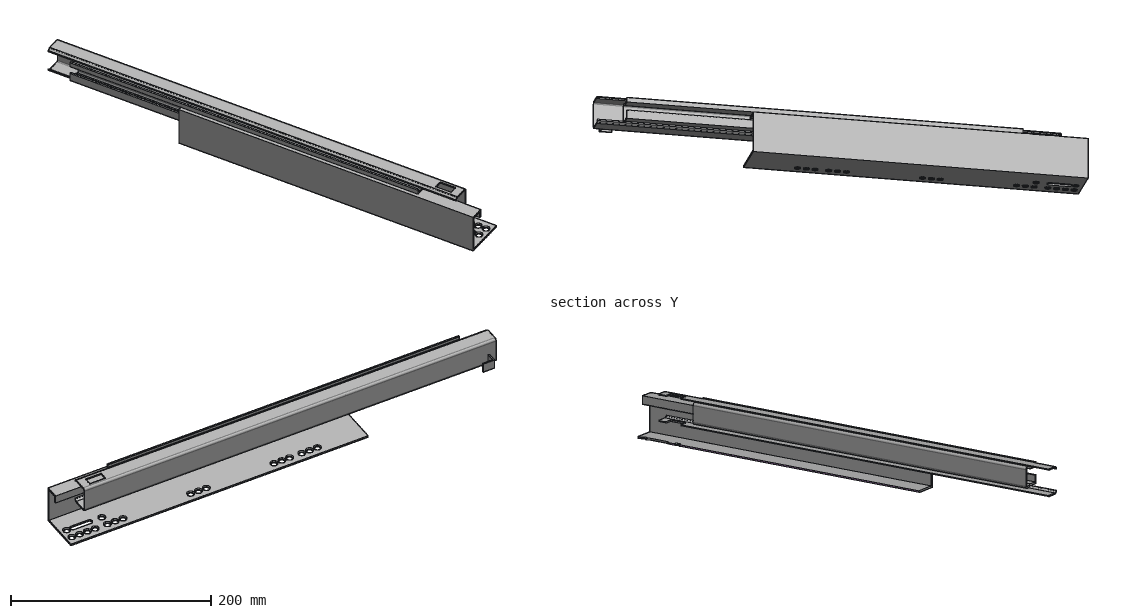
import cadquery as cq

overall_length = 500.0

cabinet_start = 157.5
cabinet_depth = 45.5
cabinet_height = 42.5
cabinet_thickness = 2.0
shelf_depth = 15.0
shelf_lip_height = 9.0

hole_diameter = 6.0
countersink_diameter = 8.0
countersink_angle = 90
hole_pitch = 9.0
hole_module = 32.0
first_group_x = 210.5
hole_groups = [(0, 3), (1, 3), (4, 3), (7, 3), (8, 4)]
back_row_y = 36.0
front_row_y = 24.0
front_hole_xs = [452.0, 492.5]
slot_start = 463.0
slot_end = 488.5
slot_width = 6.0

drawer_length = 474.5
drawer_top = 50.5
drawer_bottom = 21.5
drawer_back = 28.5
drawer_thickness = 1.5
drawer_corner_radius = 2.5
lip_start_y = 12.0
lip_end_y = 9.0
lip_drop = 2.0

window_start = 447.5
window_end = 465.5
window_front = 15.0
window_back = 24.0

hook_start = 8.0
hook_length = 13.0
hook_reach = 10.5
hook_bottom = 23.5
hook_height = 10.5
hook_thickness = 1.5

middle_start = 29.0
middle_length = 405.0
middle_back = 21.0
middle_front = 3.0
middle_thickness = 2.0
middle_corner_radius = 2.5
middle_top = 47.0
middle_bottom = 24.5
flange_step = 1.5
step_back_y = 17.0
step_front_y = 13.5
upper_lip_top = 48.5
lower_lip_top = 35.0

selection_margin = 0.25


def extrude_profile(points, start, length):
    """Extrude a closed outline of (y, z) points along X."""
    return cq.Workplane("YZ", origin=(start, 0, 0)).polyline(points).close().extrude(length)


def round_web_corners(rail, web_back, thickness, outer_radius):
    """Round the sheet bends at both ends of a rail's web, outside and inside alike."""
    rail = rail.edges("|X and >Y").fillet(outer_radius)
    inner_face = cq.selectors.BoxSelector(
        (0, web_back - thickness - selection_margin, drawer_bottom),
        (overall_length, web_back - thickness + selection_margin, drawer_top),
    )
    inner_edges = rail.faces(inner_face).edges("|X")
    return inner_edges.fillet(outer_radius - thickness)


def make_cabinet_bracket():
    t = cabinet_thickness
    length = overall_length - cabinet_start
    lip_bottom = cabinet_height - shelf_lip_height
    lip_inner = shelf_depth - t
    outline = [
        (0, 0),
        (cabinet_depth, 0),
        (cabinet_depth, t),
        (t, t),
        (t, cabinet_height - t),
        (lip_inner, cabinet_height - t),
        (lip_inner, lip_bottom),
        (shelf_depth, lip_bottom),
        (shelf_depth, cabinet_height),
        (0, cabinet_height),
    ]
    bracket = extrude_profile(outline, cabinet_start, length)

    hole_centers = [(x, front_row_y) for x in front_hole_xs]
    for modules, count in hole_groups:
        group_x = first_group_x + modules * hole_module
        hole_centers += [(group_x + i * hole_pitch, back_row_y) for i in range(count)]
    bracket = (
        bracket.copyWorkplane(cq.Workplane("XY", origin=(0, 0, t)))
        .pushPoints(hole_centers)
        .cskHole(hole_diameter, countersink_diameter, countersink_angle, depth=t)
    )
    slot = (
        cq.Workplane("XY")
        .center((slot_start + slot_end) / 2, front_row_y)
        .slot2D(slot_end - slot_start, slot_width)
        .extrude(t)
    )
    return bracket.cut(slot)


def make_middle_rail():
    t = middle_thickness
    upper = middle_top - flange_step
    lower = middle_bottom + flange_step
    outline = [
        (middle_back, middle_bottom),
        (middle_back, middle_top),
        (step_back_y, middle_top),
        (step_front_y, upper),
        (middle_front + t, upper),
        (middle_front + t, upper_lip_top),
        (middle_front, upper_lip_top),
        (middle_front, upper - t),
        (step_front_y, upper - t),
        (step_back_y, middle_top - t),
        (middle_back - t, middle_top - t),
        (middle_back - t, middle_bottom + t),
        (step_back_y, middle_bottom + t),
        (step_front_y, lower + t),
        (middle_front + t, lower + t),
        (middle_front + t, lower_lip_top),
        (middle_front, lower_lip_top),
        (middle_front, lower),
        (step_front_y, lower),
        (step_back_y, middle_bottom),
    ]
    rail = extrude_profile(outline, middle_start, middle_length)
    return round_web_corners(rail, middle_back, t, middle_corner_radius)


def make_drawer_rail():
    t = drawer_thickness
    outline = [
        (drawer_back, drawer_bottom),
        (drawer_back, drawer_top),
        (lip_start_y, drawer_top),
        (lip_end_y, drawer_top - lip_drop),
        (lip_end_y, drawer_top - lip_drop - t),
        (lip_start_y, drawer_top - t),
        (drawer_back - t, drawer_top - t),
        (drawer_back - t, drawer_bottom + t),
        (lip_start_y, drawer_bottom + t),
        (lip_end_y, drawer_bottom + lip_drop + t),
        (lip_end_y, drawer_bottom + lip_drop),
        (lip_start_y, drawer_bottom),
    ]
    rail = extrude_profile(outline, 0, drawer_length)
    rail = round_web_corners(rail, drawer_back, t, drawer_corner_radius)

    window = cq.Workplane("XY", origin=(window_start, window_front, drawer_bottom)).box(
        window_end - window_start,
        window_back - window_front,
        drawer_top - drawer_bottom,
        centered=False,
    )

    hook_end = hook_start + hook_length
    hook_back = drawer_back + hook_reach
    hook_outline = [
        (hook_start, drawer_back),
        (hook_start, hook_back),
        (hook_end, hook_back),
        (hook_end, hook_back - hook_thickness),
        (hook_start + hook_thickness, hook_back - hook_thickness),
        (hook_start + hook_thickness, drawer_back),
    ]
    hook = (
        cq.Workplane("XY", origin=(0, 0, hook_bottom))
        .polyline(hook_outline)
        .close()
        .extrude(hook_height)
    )
    return rail.cut(window).union(hook)


cabinet_bracket = make_cabinet_bracket()
middle_rail = make_middle_rail()
drawer_rail = make_drawer_rail()
bodies = [cabinet_bracket, middle_rail, drawer_rail]
result = cq.Compound.makeCompound([body.solids().val() for body in bodies])